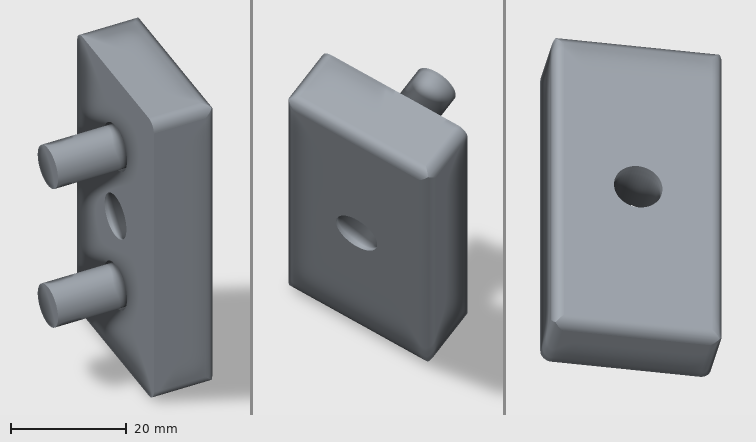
import cadquery as cq

plate_height = 60.0
plate_width = plate_height / 2
plate_depth = plate_height / 5
edge_radius = 2.0

pin_diameter = 8.0
pin_length = 13.0
pin_offset = plate_height / 4
hole_diameter = 8.5

recess_diameter = 9.0
recess_depth = plate_depth / 2


def cylinder(diameter, z, y_start, y_end):
    """Cylinder along Y, centred on X = 0 at height z."""
    profile = cq.Workplane("XZ", origin=(0, y_start, z)).circle(diameter / 2)
    return profile.extrude(y_start - y_end)


def rounded_prism(edges):
    """Plate-sized block rounded along one axis only, front face at Y = 0."""
    block = cq.Workplane("XY").box(plate_width, plate_depth, plate_height)
    return block.edges(edges).fillet(edge_radius).translate((0, plate_depth / 2, 0))


def make_plate():
    """Rounded corners and back rim; the cylindrical rounds meet in mitred seams."""
    front_outline = rounded_prism("|Y")
    upright_rounds = rounded_prism("|Z and >Y")
    level_rounds = rounded_prism("|X and >Y")
    return front_outline.intersect(upright_rounds).intersect(level_rounds)


result = make_plate().cut(cylinder(hole_diameter, 0, 0, plate_depth))

for pin_z in (-pin_offset, pin_offset):
    result = result.cut(cylinder(recess_diameter, pin_z, 0, recess_depth))
    result = result.union(cylinder(pin_diameter, pin_z, -pin_length, recess_depth))